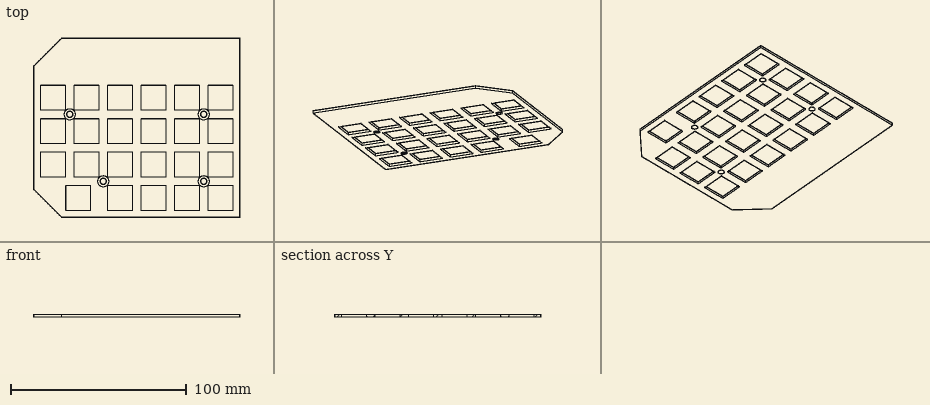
import cadquery as cq

length = 117.2
width = 102.0
thickness = 1.5
corner_cut = 16.0

columns = 6
rows = 4
margin = 4.0
bar = 5.0
opening = (length - 2 * margin - (columns - 1) * bar) / columns
pitch = opening + bar

offset_key_column = 0.75
first_regular_front_column = 2

screw_diameter = 3.4
countersink_diameter = 6.3
countersink_angle = 90.0
screw_cells = [(0.5, 2.5), (4.5, 2.5), (1.5, 0.5), (4.5, 0.5)]


def grid_point(column, row):
    """Centre of a grid cell; column 0, row 0 is the cell nearest the front-left corner."""
    first_centre = margin + opening / 2
    return (first_centre + column * pitch, first_centre + row * pitch)


def make_plate():
    """Flat plate with both left corners cut at 45 degrees."""
    plate = cq.Workplane("XY").box(length, width, thickness, centered=False)
    return plate.edges("|Z and <X").chamfer(corner_cut)


def opening_centres():
    """Centres of the offset front opening and of all the regular openings."""
    centres = [grid_point(offset_key_column, 0)]
    for row in range(rows):
        first_column = first_regular_front_column if row == 0 else 0
        centres += [grid_point(column, row) for column in range(first_column, columns)]
    return centres


def cut_openings(plate):
    """Cut the square switch openings through the plate."""
    top = plate.faces(">Z").workplane(origin=(0, 0, 0))
    return top.pushPoints(opening_centres()).rect(opening, opening).cutThruAll()


def cut_screw_holes(plate):
    """Drill the screw holes and countersink them from the top."""
    centres = [grid_point(column, row) for column, row in screw_cells]
    top = plate.faces(">Z").workplane(origin=(0, 0, 0))
    return top.pushPoints(centres).cskHole(screw_diameter, countersink_diameter, countersink_angle)


result = cut_screw_holes(cut_openings(make_plate()))